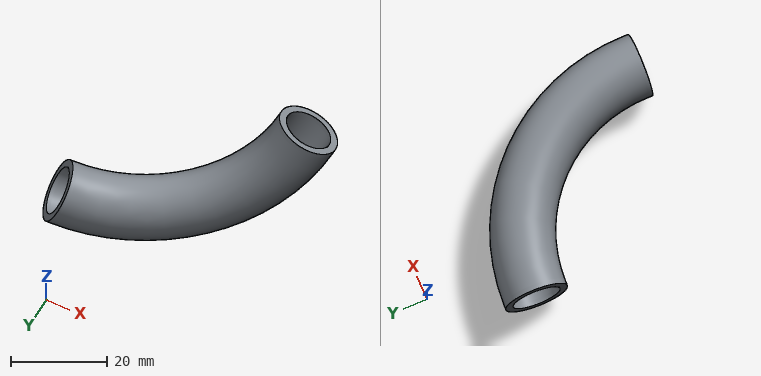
import cadquery as cq
import math

outer_diameter = 13.8
bore_diameter = 10.5
bend_radius = 38.1
bend_angle = 88.5
end_length = 1.0


def point_on_bend(angle):
    """Centreline point at an angle in degrees about the bend axis, which is Z."""
    radians = math.radians(angle)
    return (bend_radius * math.cos(radians), bend_radius * math.sin(radians))


bend_end = point_on_bend(bend_angle)
end_angle = math.radians(bend_angle)
tube_end = (
    bend_end[0] - end_length * math.sin(end_angle),
    bend_end[1] + end_length * math.cos(end_angle),
)
centreline = (
    cq.Workplane("XY")
    .moveTo(bend_radius, -end_length)
    .lineTo(bend_radius, 0)
    .threePointArc(point_on_bend(bend_angle / 2), bend_end)
    .lineTo(*tube_end)
)

start_plane = cq.Plane(
    origin=(bend_radius, -end_length, 0), xDir=(1, 0, 0), normal=(0, 1, 0)
)
ring = cq.Workplane(start_plane).circle(outer_diameter / 2).circle(bore_diameter / 2)

result = ring.sweep(centreline)